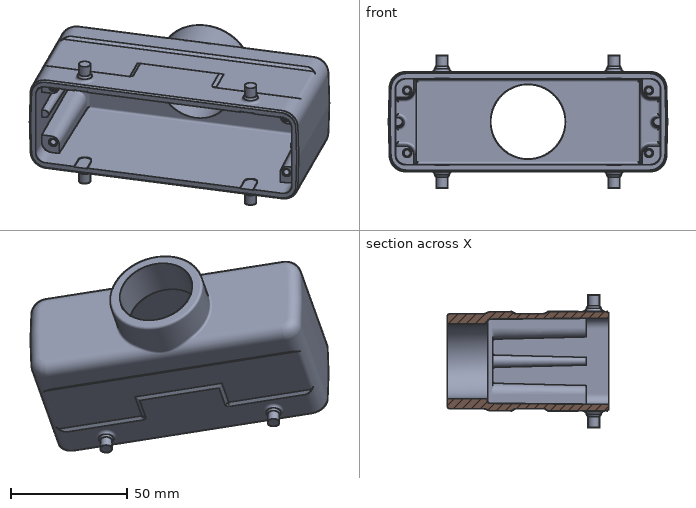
import cadquery as cq
import math

LEVEL_TOLERANCE = 0.06

BODY_LENGTH = 120.0
BODY_DEPTH = 55.2
BODY_HEIGHT = 43.0
CORNER_RADIUS = 7.2
BACK_RADIUS = 5.0
MOUTH_CHAMFER = 0.7
END_CROWN = 0.6

TOTAL_DEPTH = 69.5
COLLAR_DIAMETER = 41.0
COLLAR_EDGE_RADIUS = 1.1
COLLAR_ROOT_RADIUS = 1.0
BORE_DIAMETER = 32.0

CAVITY_LENGTH = 114.0
CAVITY_HEIGHT = 37.0
CAVITY_CORNER_RADIUS = 4.3
FLOOR_Y = 52.1
STEP_HEIGHT = 2.2
STEP_Y = FLOOR_Y - STEP_HEIGHT
STEP_INNER_X = 48.1
CAVITY_DRAFT = 0.5
POST_DRAFT = 1.4
INNER_FILLET = 1.0

POST_FRONT_Y = 9.6
POST_INNER_X = 49.2
POST_INNER_Z = 10.5
POST_CORNER_RADIUS = 3.6
SCREW_X = 52.0
SCREW_Z = 13.5
SCREW_DIAMETER = 2.8
SCREW_MOUTH_DIAMETER = 3.7
SCREW_DEPTH = 14.4
SCREW_SINK_SLOPE = 45.0
RIB_X = 55.5
RIB_RADIUS = 1.7

PIN_X = 37.0
PIN_Y = 6.5
PIN_DIAMETER = 5.0
PIN_SPAN = 57.0
PIN_EMBED = 1.2
PIN_CONE_DIAMETER = 6.4
PIN_CONE_TOP = 2.4
PIN_FLARE_HEIGHT = 1.3
PIN_FLARE_WIDTH = 1.5
PIN_GROOVE_WIDTH = 5.8
PIN_GROOVE_DEPTH = 0.2
PIN_GROOVE_CLEARANCE = 2.4

RECESS_DEPTH = 1.0
RECESS_SLOPE = 60.0
RECESS_FRONT_Y = 15.0
RECESS_BACK_Y = 40.3
RECESS_OVERRUN = 6.0
RECESS_END_RADIUS = 2.4
TAB_HALF_WIDTH = 19.2
TAB_BACK_Y = 27.7
TAB_CORNER_RADIUS = 0.7


def inward_plane(y):
    """Sketch plane at depth y whose normal points into the hood (+Y)."""
    return cq.Workplane(cq.Plane(origin=(0, y, 0), xDir=(1, 0, 0), normal=(0, 1, 0)))


def mirrored_pair(solid, plane):
    return solid.union(solid.mirror(plane))


def on_four_sides(solid):
    return mirrored_pair(mirrored_pair(solid, "XY"), "YZ")


def make_body():
    """Solid block with crowned end walls and rounded corners and back."""
    half_length = BODY_LENGTH / 2
    half_height = BODY_HEIGHT / 2
    corner_x = half_length - END_CROWN
    outline = [
        (-corner_x, -half_height),
        (corner_x, -half_height),
        (half_length, 0),
        (corner_x, half_height),
        (-corner_x, half_height),
        (-half_length, 0),
    ]
    body = inward_plane(0).polyline(outline).close().extrude(BODY_DEPTH)
    for x in (-half_length, half_length):
        for z in (-half_height, half_height):
            corner = cq.selectors.NearestToPointSelector((x, BODY_DEPTH / 2, z))
            body = body.edges("|Y").edges(corner).fillet(CORNER_RADIUS)
    return body.faces(">Y").edges().fillet(BACK_RADIUS)


def make_recess():
    """Cutter for the top recess: a U-shaped pocket around a tab, with sloping walls."""
    reach = BODY_LENGTH / 2 + RECESS_OVERRUN
    floor_z = BODY_HEIGHT / 2 - RECESS_DEPTH
    outline = [
        (-reach, RECESS_FRONT_Y),
        (-TAB_HALF_WIDTH, RECESS_FRONT_Y),
        (-TAB_HALF_WIDTH, TAB_BACK_Y),
        (TAB_HALF_WIDTH, TAB_BACK_Y),
        (TAB_HALF_WIDTH, RECESS_FRONT_Y),
        (reach, RECESS_FRONT_Y),
        (reach, RECESS_BACK_Y),
        (-reach, RECESS_BACK_Y),
    ]
    recess = cq.Workplane("XY", origin=(0, 0, floor_z)).polyline(outline).close()
    recess = recess.extrude(RECESS_DEPTH, taper=-RECESS_SLOPE)
    for x in (-TAB_HALF_WIDTH, TAB_HALF_WIDTH):
        corner = cq.selectors.NearestToPointSelector((x, TAB_BACK_Y, floor_z + RECESS_DEPTH / 2))
        recess = recess.edges("not #Z").edges("not |Z").edges(corner).fillet(TAB_CORNER_RADIUS)
    return recess


def cut_recesses(body):
    body = body.cut(mirrored_pair(make_recess(), "XY"))
    floor_z = BODY_HEIGHT / 2 - RECESS_DEPTH
    middle_y = (RECESS_FRONT_Y + RECESS_BACK_Y) / 2
    for x in (-BODY_LENGTH / 2, BODY_LENGTH / 2):
        for z in (-floor_z, floor_z):
            end_edge = cq.selectors.NearestToPointSelector((x, middle_y, z))
            body = body.edges("|Y").edges(end_edge).fillet(RECESS_END_RADIUS)
    return body


def add_collar(body):
    collar = inward_plane(FLOOR_Y).circle(COLLAR_DIAMETER / 2).extrude(TOTAL_DEPTH - FLOOR_Y)
    collar = collar.faces(">Y").edges().fillet(COLLAR_EDGE_RADIUS)
    body = body.union(collar)
    reach = COLLAR_DIAMETER / 2 + LEVEL_TOLERANCE
    root = cq.selectors.BoxSelector((-reach, STEP_Y, -reach), (reach, BODY_DEPTH + LEVEL_TOLERANCE, reach))
    return body.edges(root).fillet(COLLAR_ROOT_RADIUS)


def make_posts():
    """Four drafted corner posts, widening toward the back."""
    outer_x = BODY_LENGTH / 2
    outer_z = BODY_HEIGHT / 2
    post = (
        inward_plane(POST_FRONT_Y)
        .moveTo(outer_x, POST_INNER_Z)
        .lineTo(POST_INNER_X + POST_CORNER_RADIUS, POST_INNER_Z)
        .tangentArcPoint((-POST_CORNER_RADIUS, POST_CORNER_RADIUS))
        .lineTo(POST_INNER_X, outer_z)
        .lineTo(outer_x, outer_z)
        .close()
        .extrude(TOTAL_DEPTH - POST_FRONT_Y, taper=-POST_DRAFT)
    )
    return on_four_sides(post)


def make_ribs():
    """Round-nosed guide rib in the middle of each end wall."""
    wall_x = BODY_LENGTH / 2
    rib = (
        inward_plane(POST_FRONT_Y)
        .moveTo(wall_x, -RIB_RADIUS)
        .lineTo(RIB_X, -RIB_RADIUS)
        .threePointArc((RIB_X - RIB_RADIUS, 0), (RIB_X, RIB_RADIUS))
        .lineTo(wall_x, RIB_RADIUS)
        .close()
        .extrude(TOTAL_DEPTH - POST_FRONT_Y, taper=-POST_DRAFT)
    )
    return mirrored_pair(rib, "YZ")


def level_edges(y, half_width):
    """Selects the edges lying wholly at depth y, within half_width of the YZ plane."""
    reach = BODY_HEIGHT / 2
    low = (-half_width, y - LEVEL_TOLERANCE, -reach)
    high = (half_width, y + LEVEL_TOLERANCE, reach)
    return cq.selectors.BoxSelector(low, high, boundingbox=True)


def make_cavity():
    """Cutter for the inside of the hood, already reduced by the posts, ribs and end steps."""
    cavity = inward_plane(0).rect(CAVITY_LENGTH, CAVITY_HEIGHT).extrude(FLOOR_Y, taper=CAVITY_DRAFT)
    cavity = cavity.edges("not(|X or |Z)").fillet(CAVITY_CORNER_RADIUS)
    step_width = BODY_LENGTH / 2 - STEP_INNER_X
    step = cq.Workplane("XY").box(step_width, STEP_HEIGHT, BODY_HEIGHT)
    step = step.translate((STEP_INNER_X + step_width / 2, STEP_Y + STEP_HEIGHT / 2, 0))
    cavity = cavity.cut(mirrored_pair(step, "YZ"))
    cavity = cavity.edges(level_edges(STEP_Y, STEP_INNER_X + LEVEL_TOLERANCE)).fillet(INNER_FILLET)
    cavity = cavity.cut(make_posts()).cut(make_ribs())
    cavity = cavity.edges(level_edges(FLOOR_Y, BODY_LENGTH / 2)).fillet(INNER_FILLET)
    return cavity.edges(level_edges(STEP_Y, BODY_LENGTH / 2)).fillet(INNER_FILLET)


def make_screw_holes():
    """Cutter for the blind, countersunk holes in the post fronts."""
    rim_width = (SCREW_MOUTH_DIAMETER - SCREW_DIAMETER) / 2
    sink_depth = rim_width / math.tan(math.radians(SCREW_SINK_SLOPE))
    centers = [(x, z) for x in (-SCREW_X, SCREW_X) for z in (-SCREW_Z, SCREW_Z)]
    holes = inward_plane(POST_FRONT_Y).pushPoints(centers).circle(SCREW_DIAMETER / 2).extrude(SCREW_DEPTH)
    sinks = inward_plane(POST_FRONT_Y).pushPoints(centers).circle(SCREW_MOUTH_DIAMETER / 2)
    sinks = sinks.extrude(sink_depth, taper=SCREW_SINK_SLOPE)
    return holes.union(sinks)


def make_pin():
    """Pin on the +X half of the top face, with a cone and a flare at its root."""
    face_z = BODY_HEIGHT / 2
    inside_z = face_z - PIN_EMBED
    cone_radius = PIN_CONE_DIAMETER / 2
    flare_radius = cone_radius + PIN_FLARE_WIDTH
    bow = 1 - math.sqrt(0.5)
    flare_middle = (cone_radius + PIN_FLARE_WIDTH * bow, face_z + PIN_FLARE_HEIGHT * bow)
    profile = (
        cq.Workplane("XZ")
        .moveTo(0, inside_z)
        .lineTo(flare_radius, inside_z)
        .lineTo(flare_radius, face_z)
        .threePointArc(flare_middle, (cone_radius, face_z + PIN_FLARE_HEIGHT))
        .lineTo(PIN_DIAMETER / 2, face_z + PIN_CONE_TOP)
        .lineTo(PIN_DIAMETER / 2, PIN_SPAN / 2)
        .lineTo(0, PIN_SPAN / 2)
        .close()
    )
    pin = profile.revolve(360, (0, 0, 0), (0, 1, 0))
    return pin.translate((PIN_X, PIN_Y, 0))


def make_pin_groove():
    """Shallow round-ended groove in the inner wall behind a pin, open at the mouth."""
    groove_height = CAVITY_HEIGHT / 2 + PIN_GROOVE_DEPTH
    radius = PIN_GROOVE_WIDTH / 2
    outline = (
        cq.Workplane("XY", origin=(PIN_X, 0, groove_height))
        .moveTo(-radius, 0)
        .lineTo(-radius, PIN_Y)
        .threePointArc((0, PIN_Y + radius), (radius, PIN_Y))
        .lineTo(radius, 0)
        .close()
    )
    return outline.extrude(-PIN_GROOVE_CLEARANCE)


body = add_collar(cut_recesses(make_body()))
body = body.faces("<Y").edges().chamfer(MOUTH_CHAMFER)
body = body.union(on_four_sides(make_pin()))
body = body.cut(make_cavity()).cut(on_four_sides(make_pin_groove())).cut(make_screw_holes())
bore = inward_plane(0).circle(BORE_DIAMETER / 2).extrude(TOTAL_DEPTH)
result = body.cut(bore)